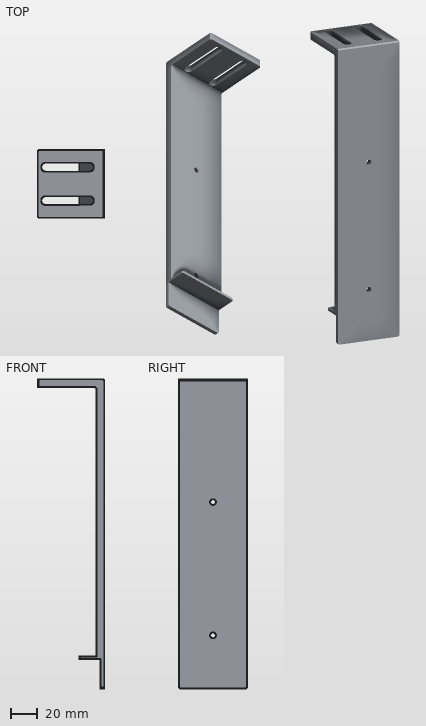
import cadquery as cq

depth = 50.0
width = 51.0
height = 232.0

wall = 6.0
foot_thickness = 3.0
edge_chamfer = 1.0

shelf_reach = 19.0
shelf_thickness = 2.0
shelf_top = 24.1

slot_length = 39.5
slot_width = 6.5
slot_spacing = 25.0
slot_edge_gap = 2.8

hole_diameter = 4.2
hole_heights = (40.0, 140.0)


def plate(x_start, x_end, z_start, z_end):
    """Full-width block centred on Y."""
    return (
        cq.Workplane("XY")
        .box(x_end - x_start, width, z_end - z_start, centered=(False, True, False))
        .translate((x_start, 0, z_start))
    )


flange = plate(0, depth, height - wall, height).edges("|Z and <X").chamfer(edge_chamfer)
shelf_bottom = shelf_top - shelf_thickness
shelf = plate(depth - shelf_reach, depth, shelf_bottom, shelf_top).edges("|Z and <X").chamfer(edge_chamfer)
foot = plate(depth - foot_thickness, depth, 0, shelf_top).edges("|X and <Z").chamfer(edge_chamfer)
upright = plate(depth - wall, depth, shelf_bottom, height)
body = flange.union(upright).union(shelf).union(foot).clean()

inner_bend = cq.selectors.NearestToPointSelector((depth - wall, 0, height - wall))
outer_bend = cq.selectors.NearestToPointSelector((depth, 0, height))
body = body.edges(inner_bend).chamfer(edge_chamfer)
body = body.edges(outer_bend).chamfer(edge_chamfer)

slots = (
    cq.Workplane("XY", origin=(slot_edge_gap + slot_length / 2, 0, height - wall))
    .pushPoints([(0, -slot_spacing / 2), (0, slot_spacing / 2)])
    .slot2D(slot_length, slot_width)
    .extrude(wall)
)

holes = (
    cq.Workplane("YZ", origin=(depth - wall, 0, 0))
    .pushPoints([(0, z) for z in hole_heights])
    .circle(hole_diameter / 2)
    .extrude(wall)
)

result = body.cut(slots).cut(holes)